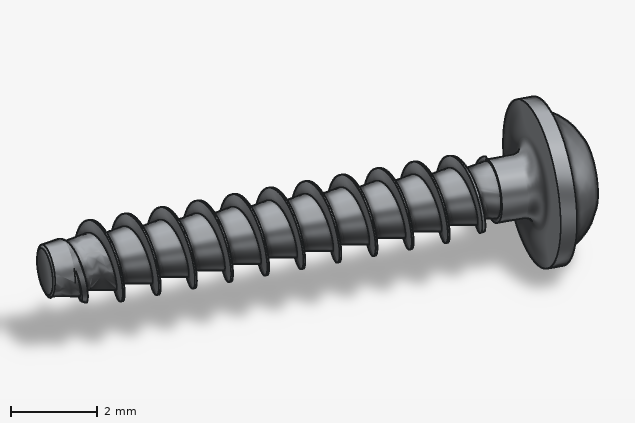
import cadquery as cq

head_height = 1.3
flange_radius = 2.0
flange_thickness = 0.4
dome_base_radius = 1.72
dome_top_radius = 0.94
dome_arc_radius = 1.5

shank_length = 12.0
neck_radius = 0.75
neck_length = 1.0
neck_fillet = 0.35
core_radius = 0.61

pitch = 0.89
thread_radius = 1.0
crest_width = 0.05
head_root_offset = 0.11
point_root_offset = 0.085
point_root_radius = 0.715
valley_radius = 0.60
land_width = 0.03
root_overlap = 0.2
first_crest = 0.65

run_in_radius = 0.83
run_in_length = 1.2
run_out_length = 1.2
run_out_radius = 0.70
point_taper_length = 0.5
point_taper_radius = 0.625
envelope_radius = 1.05

point_face_radius = 0.555
point_chamfer_width = 0.1
point_chamfer_length = 0.05


def make_head_and_core():
    """Revolved body: domed flange head, filleted neck and plain core."""
    fillet_mid_offset = neck_fillet * (1 - 0.5**0.5)
    outline = (
        cq.Workplane("XZ")
        .moveTo(0, -head_height)
        .lineTo(dome_top_radius, -head_height)
        .radiusArc((dome_base_radius, -flange_thickness), -dome_arc_radius)
        .lineTo(flange_radius, -flange_thickness)
        .lineTo(flange_radius, 0)
        .lineTo(neck_radius + neck_fillet, 0)
        .threePointArc(
            (neck_radius + fillet_mid_offset, fillet_mid_offset),
            (neck_radius, neck_fillet),
        )
        .lineTo(neck_radius, neck_length)
        .lineTo(core_radius, neck_length)
        .lineTo(core_radius, shank_length)
        .lineTo(0, shank_length)
        .close()
    )
    return outline.revolve(360, (0, 0, 0), (0, 1, 0))


def make_thread_envelope():
    """Solid of revolution that limits the thread at its run-in and run-out."""
    outline = (
        cq.Workplane("XZ")
        .moveTo(0, neck_length)
        .lineTo(run_in_radius, neck_length)
        .lineTo(envelope_radius, neck_length + run_in_length)
        .lineTo(envelope_radius, shank_length - run_out_length)
        .lineTo(run_out_radius, shank_length - point_taper_length)
        .lineTo(point_taper_radius, shank_length)
        .lineTo(0, shank_length)
        .close()
    )
    return outline.revolve(360, (0, 0, 0), (0, 1, 0))


def make_thread():
    """Helical ridge with the tapered stretch of core on its point side."""
    inner_radius = core_radius - root_overlap
    head_flank_slope = (head_root_offset - crest_width / 2) / (thread_radius - core_radius)
    ridge_start = -crest_width / 2 - head_flank_slope * (thread_radius - inner_radius)
    taper_end = pitch - head_root_offset - land_width
    start = first_crest - pitch
    helix_height = shank_length + pitch - start

    profile = [
        (inner_radius, ridge_start),
        (thread_radius, -crest_width / 2),
        (thread_radius, crest_width / 2),
        (point_root_radius, point_root_offset),
        (valley_radius, taper_end),
        (inner_radius, point_root_offset),
    ]
    helix = cq.Wire.makeHelix(pitch, helix_height, core_radius, center=cq.Vector(0, 0, start))
    ridge = (
        cq.Workplane("XZ")
        .polyline([(radius, start + height) for radius, height in profile])
        .close()
        .sweep(cq.Workplane(helix), isFrenet=True)
    )
    return ridge.intersect(make_thread_envelope())


def make_point_chamfer():
    """Ring to be removed from the rim of the point."""
    outer_radius = point_face_radius + point_chamfer_width
    outline = (
        cq.Workplane("XZ")
        .moveTo(point_face_radius, shank_length)
        .lineTo(outer_radius, shank_length - point_chamfer_length)
        .lineTo(outer_radius, shank_length + point_chamfer_length)
        .lineTo(point_face_radius, shank_length + point_chamfer_length)
        .close()
    )
    return outline.revolve(360, (0, 0, 0), (0, 1, 0))


screw = make_head_and_core().union(make_thread()).cut(make_point_chamfer())
result = screw.rotate((0, 0, 0), (1, 0, 0), 90)